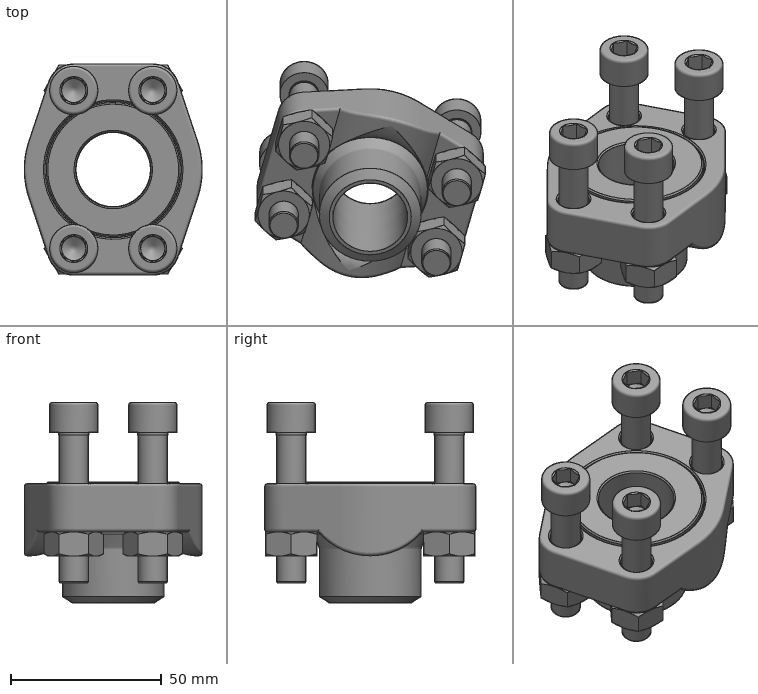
import cadquery as cq
import math


selection_margin = 0.01

bolt_spacing_x = 26.2
bolt_spacing_y = 52.4
bolt_points = [
    (sx * bolt_spacing_x / 2, sy * bolt_spacing_y / 2) for sx in (-1, 1) for sy in (-1, 1)
]

flange_width = 59.0
flange_length = 70.0
flange_thickness = 16.0
flange_edge_radius = 1.0
bolt_hole_diameter = 10.5
belly_depth = 7.9
belly_half_length = 17.1
belly_flare_radius = belly_depth
bore_diameter = 38.5
seat_diameter = 45.25
seat_depth = 7.5
hole_chamfer = 0.5

face_height = 0.5
nipple_top = flange_thickness + face_height
nipple_length = 40.0
nipple_bottom = nipple_top - nipple_length
collar_diameter = 44.4
collar_bottom = flange_thickness - seat_depth
collar_chamfer = 0.5
neck_diameter = 37.9
pipe_diameter = 33.7
taper_top = -0.6
taper_bottom = -5.5
taper_blend_radius = 1.5
mouth_diameter = 25.0
mouth_depth = 4.0
mouth_chamfer = 0.5
pipe_bore_diameter = 24.7
weld_tip_diameter = 27.2
weld_bevel_height = 2.1

screw_diameter = 9.73
screw_length = 50.0
screw_tip_chamfer_radial = 0.35
screw_tip_chamfer_height = 0.5
head_diameter = 16.0
head_height = 10.0
head_edge_radius = 1.0
neck_collar_diameter = 10.0
neck_collar_height = 0.8
grip_above_flange = 17.0
head_bottom = flange_thickness + grip_above_flange
socket_size = 8.0
socket_depth = 6.0
socket_angle = 36.5
socket_cone_depth = 2.3
socket_chamfer_angle = 30.0

nut_size = 17.0
nut_height = 8.0
nut_chamfer_angle = 30.0

hexagon_ratio = math.cos(math.pi / 6)


def make_outline():
    """Hull of the central disc and four corner discs centred on the bolts."""
    side_radius = flange_width / 2
    bolt_x = bolt_spacing_x / 2
    bolt_y = bolt_spacing_y / 2
    corner_radius = flange_length / 2 - bolt_y
    normal = math.atan2(bolt_y, bolt_x) - math.acos(
        (side_radius - corner_radius) / math.hypot(bolt_x, bolt_y)
    )
    middle = (normal + math.pi / 2) / 2
    side_x = side_radius * math.cos(normal)
    side_y = side_radius * math.sin(normal)
    corner_x = bolt_x + corner_radius * math.cos(normal)
    corner_y = bolt_y + corner_radius * math.sin(normal)
    middle_x = bolt_x + corner_radius * math.cos(middle)
    middle_y = bolt_y + corner_radius * math.sin(middle)
    end_y = flange_length / 2
    return (
        cq.Workplane("XY")
        .moveTo(side_x, -side_y)
        .threePointArc((side_radius, 0), (side_x, side_y))
        .lineTo(corner_x, corner_y)
        .threePointArc((middle_x, middle_y), (bolt_x, end_y))
        .lineTo(-bolt_x, end_y)
        .threePointArc((-middle_x, middle_y), (-corner_x, corner_y))
        .lineTo(-side_x, side_y)
        .threePointArc((-side_radius, 0), (-side_x, -side_y))
        .lineTo(-corner_x, -corner_y)
        .threePointArc((-middle_x, -middle_y), (-bolt_x, -end_y))
        .lineTo(bolt_x, -end_y)
        .threePointArc((middle_x, -middle_y), (corner_x, -corner_y))
        .close()
    )


def make_rim_cone(hole_diameter):
    """Cutter that chamfers the rim of a hole on the Z axis at the top face of the flange."""
    hole_r = hole_diameter / 2
    base = cq.Vector(0, 0, flange_thickness - hole_chamfer)
    return cq.Workplane(cq.Solid.makeCone(hole_r, hole_r + hole_chamfer, hole_chamfer, base))


def make_belly_flare():
    """Cutter that rounds the bore outwards, trumpet-like, to the bottom of the belly."""
    bore_r = bore_diameter / 2
    rim_r = bore_r + belly_flare_radius
    flare_top = belly_flare_radius - belly_depth
    return (
        cq.Workplane("XZ")
        .moveTo(bore_r, flare_top)
        .radiusArc((rim_r, -belly_depth), -belly_flare_radius)
        .lineTo(bore_r, -belly_depth)
        .close()
        .revolve(360, (0, 0, 0), (0, 1, 0))
    )


def make_flange():
    """Flange plate with a rounded belly below, a stepped bore and four bolt holes."""
    profile = (
        cq.Workplane("YZ")
        .moveTo(-flange_length, flange_thickness)
        .lineTo(-flange_length, 0)
        .lineTo(-belly_half_length, 0)
        .threePointArc((0, -belly_depth), (belly_half_length, 0))
        .lineTo(flange_length, 0)
        .lineTo(flange_length, flange_thickness)
        .close()
        .extrude(flange_width, both=True)
    )
    column = make_outline().extrude(flange_thickness + belly_depth).translate((0, 0, -belly_depth))
    body = column.intersect(profile)
    body = body.faces(">Z").edges().fillet(flange_edge_radius)
    underside = cq.selectors.BoxSelector(
        (-flange_width, -flange_length, -flange_thickness),
        (flange_width, flange_length, selection_margin),
    )
    body = body.edges(underside).edges("not(|Z or |X)").fillet(flange_edge_radius)
    bore = cq.Workplane("XY", origin=(0, 0, -belly_depth)).circle(bore_diameter / 2)
    body = body.cut(bore.extrude(flange_thickness + belly_depth))
    seat = cq.Workplane("XY", origin=(0, 0, collar_bottom)).circle(seat_diameter / 2)
    body = body.cut(seat.extrude(seat_depth))
    body = body.cut(make_belly_flare())
    holes = cq.Workplane("XY").pushPoints(bolt_points).circle(bolt_hole_diameter / 2)
    body = body.cut(holes.extrude(flange_thickness))
    body = body.cut(make_rim_cone(seat_diameter))
    for x, y in bolt_points:
        body = body.cut(make_rim_cone(bolt_hole_diameter).translate((x, y, 0)))
    return body


def make_nipple():
    """Turned weld nipple with a collar on top, a tapered neck and a bevelled weld end."""
    collar_r = collar_diameter / 2
    neck_r = neck_diameter / 2
    pipe_r = pipe_diameter / 2
    mouth_r = mouth_diameter / 2
    pipe_bore_r = pipe_bore_diameter / 2
    mouth_bottom = nipple_top - mouth_depth
    section = (
        cq.Workplane("XZ")
        .moveTo(pipe_bore_r, nipple_bottom)
        .lineTo(weld_tip_diameter / 2, nipple_bottom)
        .lineTo(pipe_r, nipple_bottom + weld_bevel_height)
        .lineTo(pipe_r, taper_bottom)
        .lineTo(neck_r, taper_top)
        .lineTo(neck_r, collar_bottom)
        .lineTo(collar_r, collar_bottom)
        .lineTo(collar_r, nipple_top - collar_chamfer)
        .lineTo(collar_r - collar_chamfer, nipple_top)
        .lineTo(mouth_r + mouth_chamfer, nipple_top)
        .lineTo(mouth_r, nipple_top - mouth_chamfer)
        .lineTo(mouth_r, mouth_bottom)
        .close()
    )
    body = section.revolve(360, (0, 0, 0), (0, 1, 0))
    taper_foot = cq.selectors.BoxSelector(
        (-collar_r, -collar_r, taper_bottom - selection_margin),
        (collar_r, collar_r, taper_bottom + selection_margin),
    )
    return body.edges(taper_foot).fillet(taper_blend_radius)


def make_screw():
    """Socket head cap screw on the Z axis."""
    screw_r = screw_diameter / 2
    neck_collar_r = neck_collar_diameter / 2
    head_r = head_diameter / 2
    tip = head_bottom - screw_length
    head_top = head_bottom + head_height
    section = (
        cq.Workplane("XZ")
        .moveTo(0, tip)
        .lineTo(screw_r - screw_tip_chamfer_radial, tip)
        .lineTo(screw_r, tip + screw_tip_chamfer_height)
        .lineTo(screw_r, head_bottom - neck_collar_height)
        .lineTo(neck_collar_r, head_bottom - neck_collar_height)
        .lineTo(neck_collar_r, head_bottom)
        .lineTo(head_r, head_bottom)
        .lineTo(head_r, head_top - head_edge_radius)
        .radiusArc((head_r - head_edge_radius, head_top), -head_edge_radius)
        .lineTo(0, head_top)
        .close()
    )
    body = section.revolve(360, (0, 0, 0), (0, 1, 0))
    corner_diameter = socket_size / hexagon_ratio
    corner_r = corner_diameter / 2
    flat_r = socket_size / 2
    socket = (
        cq.Workplane("XY", origin=(0, 0, head_top))
        .transformed(rotate=(0, 0, socket_angle))
        .polygon(6, corner_diameter)
        .extrude(-socket_depth)
    )
    floor = head_top - socket_depth
    drill_point = cq.Solid.makeCone(
        0, flat_r, socket_cone_depth, cq.Vector(0, 0, floor - socket_cone_depth)
    )
    chamfer_depth = (corner_r - flat_r) * math.tan(math.radians(socket_chamfer_angle))
    mouth = cq.Solid.makeCone(
        flat_r, corner_r, chamfer_depth, cq.Vector(0, 0, head_top - chamfer_depth)
    )
    return body.cut(socket).cut(cq.Workplane(drill_point)).cut(cq.Workplane(mouth))


def make_nut():
    """Hexagon nut under the flange, chamfered at both ends and bored to fit the screw."""
    corner_r = nut_size / hexagon_ratio / 2
    chamfer_drop = (corner_r - nut_size / 2) * math.tan(math.radians(nut_chamfer_angle))
    hexagon = cq.Workplane("XY").polygon(6, 2 * corner_r).extrude(-nut_height)
    turned = (
        cq.Workplane("XZ")
        .moveTo(screw_diameter / 2, 0)
        .lineTo(nut_size / 2, 0)
        .lineTo(corner_r, -chamfer_drop)
        .lineTo(corner_r, -nut_height + chamfer_drop)
        .lineTo(nut_size / 2, -nut_height)
        .lineTo(screw_diameter / 2, -nut_height)
        .close()
        .revolve(360, (0, 0, 0), (0, 1, 0))
    )
    return hexagon.intersect(turned)


flange = make_flange()
nipple = make_nipple()
screws = [make_screw().translate((x, y, 0)) for x, y in bolt_points]
nuts = [make_nut().translate((x, y, 0)) for x, y in bolt_points]

result = cq.Compound.makeCompound(
    [
        flange.val(),
        nipple.val(),
        *[screw.val() for screw in screws],
        *[nut.val() for nut in nuts],
    ]
)